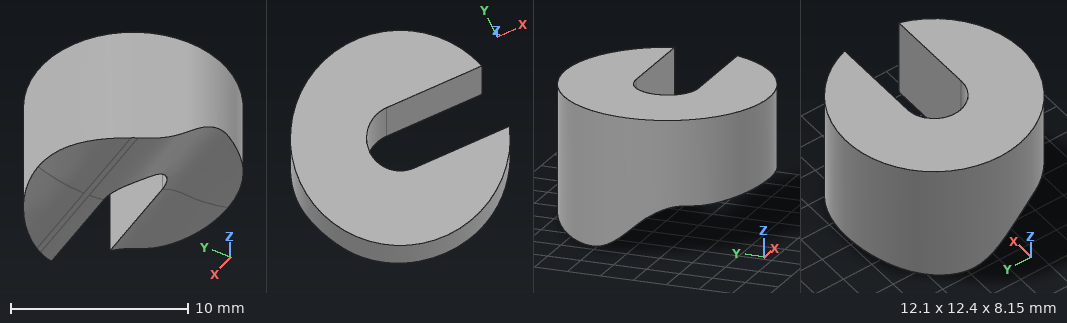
import cadquery as cq

outer_diameter = 12.4
height = 8.15
slot_width = 3.8

outer_radius = outer_diameter / 2
slot_radius = slot_width / 2

wave_points = [
    (-outer_radius, 4.86),
    (-4.96, 5.12),
    (-3.97, 5.2),
    (-2.73, 5.17),
    (-1.86, 5.47),
    (-1.04, 5.99),
    (1.0, 7.65),
    (1.86, 8.02),
    (2.88, height),
    (4.94, 7.92),
    (outer_radius, 7.5),
]


def wave_block():
    """Block between the flat top face and the wavy underside."""
    underside = [(y, -depth) for y, depth in wave_points]
    return (
        cq.Workplane("YZ")
        .moveTo(-outer_radius, 0)
        .lineTo(*underside[0])
        .spline(underside[1:], includeCurrent=True)
        .lineTo(outer_radius, 0)
        .close()
        .extrude(outer_radius, both=True)
    )


def open_slot():
    """Through slot with a round end on the axis, open toward +X."""
    return (
        cq.Workplane("XY")
        .moveTo(outer_radius, slot_radius)
        .lineTo(0, slot_radius)
        .threePointArc((-slot_radius, 0), (0, -slot_radius))
        .lineTo(outer_radius, -slot_radius)
        .close()
        .extrude(-height)
    )


cylinder = cq.Workplane("XY").circle(outer_radius).extrude(-height)
result = cylinder.intersect(wave_block()).cut(open_slot())